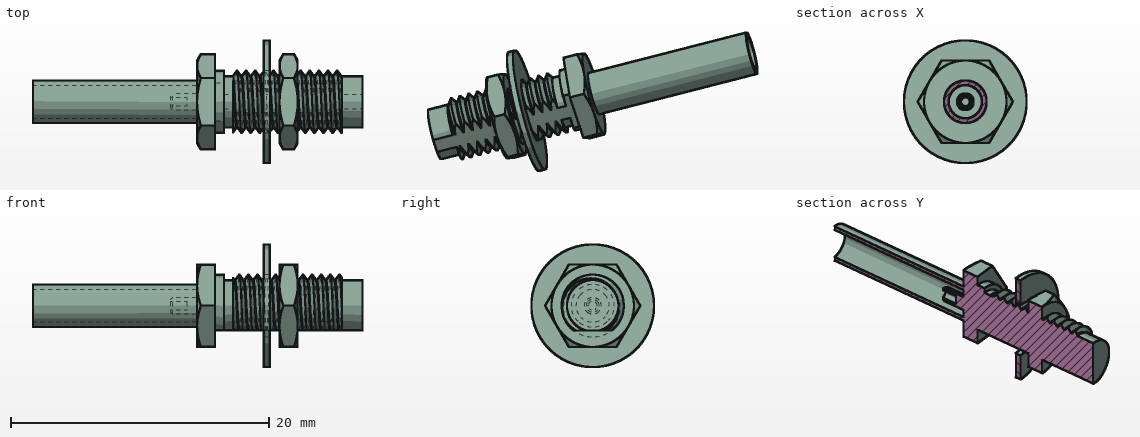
import cadquery as cq
import math

LENGTH = 25.53

TUBE_DIAMETER = 3.32
BORE_DIAMETER = 2.55

HEX_ACROSS_FLATS = 6.38
HEX_ACROSS_CORNERS = HEX_ACROSS_FLATS / math.cos(math.radians(30))
HEX_THICKNESS = 1.4
HEX_CHAMFER_ANGLE = 30.0
FIXED_HEX_X = 12.71
NUT_X = 19.1

WASHER_DIAMETER = 9.52
WASHER_HOLE_DIAMETER = 4.85
WASHER_THICKNESS = 0.49
WASHER_X = 17.87

CORE_DIAMETER = 3.98
CORE_RADIUS = CORE_DIAMETER / 2
SHANK_X = FIXED_HEX_X + HEX_THICKNESS
COLLAR_LENGTH = 0.7
FLAT_DEPTH_BELOW_AXIS = 1.91

THREAD_DIAMETER = 4.83
THREAD_RADIUS = THREAD_DIAMETER / 2
THREAD_START_X = 15.5
THREAD_END_X = 23.95
THREAD_LENGTH = THREAD_END_X - THREAD_START_X
THREAD_TURNS = 12
PITCH = THREAD_LENGTH / THREAD_TURNS
FIRST_TOP_CREST_X = 15.98
ROOT_GAP = 0.03
RIDGE_EMBEDMENT = 0.03

PIN_DIAMETER = 1.3
PIN_CHAMFER = 0.15
PIN_HOLE_DIAMETER = 0.7
PIN_HOLE_DEPTH = 1.28
PIN_LENGTH = 2.05
BORE_FLOOR_X = FIXED_HEX_X
PIN_START_X = BORE_FLOOR_X - PIN_LENGTH


def rod(diameter, start_x, length):
    """Round rod along the X axis."""
    return cq.Workplane("YZ", origin=(start_x, 0, 0)).circle(diameter / 2).extrude(length)


def chamfer_envelope(start_x, chamfer_far_side):
    """Solid of revolution that bevels the corners of a hexagon on one or both faces."""
    face_radius = HEX_ACROSS_FLATS / 2
    corner_radius = HEX_ACROSS_CORNERS / 2
    bevel = (corner_radius - face_radius) * math.tan(math.radians(HEX_CHAMFER_ANGLE))
    end_x = start_x + HEX_THICKNESS
    outline = cq.Workplane("XY").moveTo(start_x, 0).lineTo(start_x, face_radius)
    outline = outline.lineTo(start_x + bevel, corner_radius)
    if chamfer_far_side:
        outline = outline.lineTo(end_x - bevel, corner_radius).lineTo(end_x, face_radius)
    else:
        outline = outline.lineTo(end_x, corner_radius)
    return outline.lineTo(end_x, 0).close().revolve(360, (0, 0, 0), (1, 0, 0))


def hexagon(start_x, chamfer_far_side):
    """Hexagon with flats facing up and down and corners along Y."""
    prism = cq.Workplane("YZ", origin=(start_x, 0, 0)).polygon(6, HEX_ACROSS_CORNERS)
    return prism.extrude(HEX_THICKNESS).intersect(chamfer_envelope(start_x, chamfer_far_side))


def thread_ridge():
    """Helical ridge along X, cut off square at both ends of the thread."""
    half_base = (PITCH - ROOT_GAP) / 2
    foot_radius = CORE_RADIUS - RIDGE_EMBEDMENT
    helix_start_x = FIRST_TOP_CREST_X - 1.5 * PITCH
    helix_length = THREAD_LENGTH + 2 * PITCH
    path = cq.Wire.makeHelix(PITCH, helix_length, CORE_RADIUS)
    profile = cq.Workplane("XZ").polyline(
        [
            (foot_radius, -half_base),
            (THREAD_RADIUS, 0),
            (foot_radius, half_base),
        ]
    ).close()
    ridge = profile.sweep(cq.Workplane(path), isFrenet=True)
    ridge = ridge.rotate((0, 0, 0), (0, 1, 0), 90).translate((helix_start_x, 0, 0))
    return ridge.intersect(rod(2 * THREAD_DIAMETER, THREAD_START_X, THREAD_LENGTH))


def shank():
    """Collar and threaded core with the flat along the underside."""
    core = rod(CORE_DIAMETER, SHANK_X, LENGTH - SHANK_X)
    collar = rod(THREAD_DIAMETER, SHANK_X, COLLAR_LENGTH)
    below_flat = cq.Workplane("XY", origin=(SHANK_X, 0, -FLAT_DEPTH_BELOW_AXIS)).rect(
        2 * LENGTH, 2 * THREAD_DIAMETER
    ).extrude(-THREAD_DIAMETER)
    return core.union(thread_ridge()).union(collar).cut(below_flat)


def cable_tube():
    """Open tube whose bore ends at the fixed hexagon."""
    return rod(TUBE_DIAMETER, 0, BORE_FLOOR_X).cut(rod(BORE_DIAMETER, 0, BORE_FLOOR_X))


def contact_pin():
    """Centre contact with a chamfered tip and a blind hole for the cable's wire."""
    pin = rod(PIN_DIAMETER, PIN_START_X, PIN_LENGTH).faces("<X").chamfer(PIN_CHAMFER)
    return pin.cut(rod(PIN_HOLE_DIAMETER, PIN_START_X, PIN_HOLE_DEPTH))


def make_connector():
    """Tube, contact pin, fixed hexagon, threaded shank and nut in one piece."""
    fixed_hexagon = hexagon(FIXED_HEX_X, chamfer_far_side=False)
    nut = hexagon(NUT_X, chamfer_far_side=True)
    return shank().union(nut).union(fixed_hexagon).union(cable_tube()).union(contact_pin())


def make_washer():
    """Flat ring whose hole clears the thread crests."""
    disc = rod(WASHER_DIAMETER, WASHER_X, WASHER_THICKNESS)
    return disc.cut(rod(WASHER_HOLE_DIAMETER, WASHER_X, WASHER_THICKNESS))


connector = make_connector()
washer = make_washer()

result = cq.Compound.makeCompound([connector.solids().val(), washer.solids().val()])